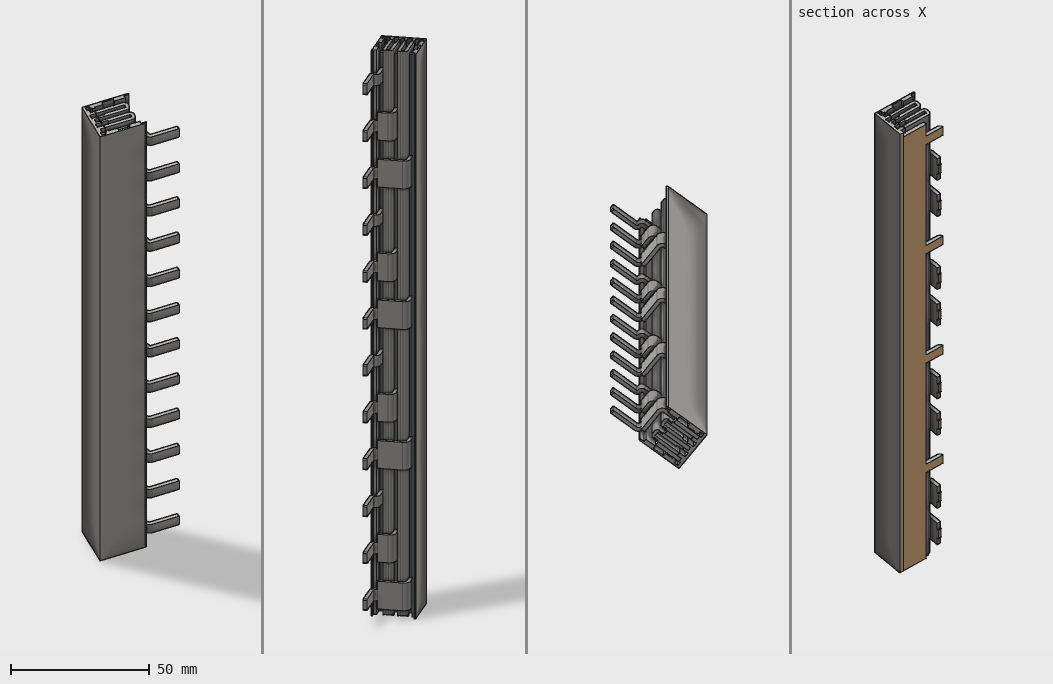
import cadquery as cq


housing_width = 16.5
housing_depth = 18.3
length = 214.4
floor_thickness = 1.0
wall_thickness = 0.6
lip_bevel_width = 0.2
lip_bevel_height = 0.6
ledge_top = 1.7
holder_top = 3.5
upper_rib = (12.0, 16.3)
lower_rib = (2.5, 7.5)
rib_clearance = 0.5
hook = (3.2, 4.3)

bar_thickness = 1.5
bar_spacing = 5.4
bar_top = 12.3
bar_recess = 2.2
bar_count = 3

pin_count = 12
first_pin_z = 8.4
last_pin_z = 204.2
pin_pitch = (last_pin_z - first_pin_z) / (pin_count - 1)
pin_tip = 31.2
pin_width = 4.3
tab_width = 10.5
tip_chamfer = 0.5
pin_x = (housing_width - bar_thickness) / 2
pin_bend_end = 20.5
root_bend = 1.7
pin_bend = 2.0

leg_thickness = 1.3
slim_leg_thickness = 0.9
slim_leg_top = 6.0
leg_bottom = 3.7
separator_top = 16.0
bridge_thickness = 1.3
bridge_radius = 1.5
nub_thickness = 0.5
nub_depth = 1.5
nub_length = 0.6
nub_y = 13.8

half_width = housing_width / 2
half_bar = bar_thickness / 2
outer_leg_x = bar_spacing - half_bar
outer_face_x = bar_spacing + half_bar


def prism(x_range, y_range, z_length=length):
    """Block with the given X and Y ranges, rising from Z = 0."""
    width = x_range[1] - x_range[0]
    depth = y_range[1] - y_range[0]
    return (
        cq.Workplane("XY")
        .box(width, depth, z_length, centered=False)
        .translate((x_range[0], y_range[0], 0))
    )


def make_housing_side():
    """Wall, guide ribs, hook, ledge and holder of the +X half."""
    inner_wall_x = half_width - wall_thickness
    rib_x = outer_face_x + rib_clearance
    holder_x = outer_leg_x - leg_thickness
    wall_outline = [
        (inner_wall_x, 0),
        (half_width, 0),
        (half_width, housing_depth - lip_bevel_height),
        (half_width - lip_bevel_width, housing_depth),
        (inner_wall_x, housing_depth),
    ]
    side = cq.Workplane("XY").polyline(wall_outline).close().extrude(length)
    for rib in (upper_rib, lower_rib):
        side = side.union(prism((rib_x, half_width), rib))
    side = side.union(prism((outer_face_x, half_width), hook))
    side = side.union(prism((holder_x, outer_face_x), (0, ledge_top)))
    return side.union(prism((holder_x, outer_leg_x), (0, holder_top)))


def make_housing():
    holder_x = half_bar + slim_leg_thickness
    floor = prism((-half_width, half_width), (0, floor_thickness))
    middle_holder = prism((-holder_x, holder_x), (0, holder_top))
    middle_slot = prism((-half_bar, half_bar), (ledge_top, holder_top))
    side = make_housing_side()
    housing = floor.union(middle_holder).cut(middle_slot)
    return housing.union(side).union(side.mirror("YZ"))


def sweep_strip(path, width):
    """Bent strip along a path that starts parallel to Y; its width lies along Z."""
    start = path.val().startPoint()
    section = cq.Workplane("XZ", origin=start.toTuple()).rect(bar_thickness, width)
    return section.sweep(path)


def make_pin(bar_x):
    """Tab and pin of one bar, centred on Z = 0."""
    offset = pin_x - bar_x
    is_jogged = offset < root_bend + pin_bend
    first_radius = offset / 2 if is_jogged else root_bend
    second_radius = offset / 2 if is_jogged else pin_bend
    tab_y = pin_bend_end - second_radius
    tab_path = (
        cq.Workplane("XY")
        .moveTo(bar_x, bar_top)
        .lineTo(bar_x, tab_y - first_radius)
        .tangentArcPoint((bar_x + first_radius, tab_y), relative=False)
    )
    if not is_jogged:
        tab_path = tab_path.lineTo(pin_x - second_radius, tab_y)
    pin_path = (
        cq.Workplane("XY")
        .moveTo(pin_x, pin_tip)
        .lineTo(pin_x, pin_bend_end)
        .tangentArcPoint((pin_x - second_radius, tab_y), relative=False)
    )
    pin = sweep_strip(pin_path.wire(), pin_width).faces(">Y").edges("|X").chamfer(tip_chamfer)
    tab = sweep_strip(tab_path.wire(), pin_width if is_jogged else tab_width)
    return pin.union(tab)


def make_bar(index):
    """Bar 0, 1 or 2 counted from -X; every third pin belongs to the same bar."""
    bar_x = (index - 1) * bar_spacing
    bar = prism((bar_x - half_bar, bar_x + half_bar), (ledge_top, bar_top), length - bar_recess)
    pin = make_pin(bar_x)
    for number in range(index, pin_count, bar_count):
        bar = bar.union(pin.translate((0, 0, first_pin_z + number * pin_pitch)))
    return bar


def make_separator():
    """Separator between the middle bar and the +X bar."""
    inner_x = half_bar
    outer_x = outer_leg_x
    body = prism((inner_x, outer_x), (leg_bottom, separator_top))
    body = body.edges("|Z and >Y").fillet(bridge_radius)
    gap_top = separator_top - bridge_thickness
    gap = prism((inner_x + leg_thickness, outer_x - leg_thickness), (leg_bottom, gap_top))
    foot_gap = prism((inner_x + slim_leg_thickness, inner_x + leg_thickness), (leg_bottom, slim_leg_top))
    body = body.cut(gap).cut(foot_gap)
    nub_range = (nub_y - nub_depth / 2, nub_y + nub_depth / 2)
    for nub_x in (inner_x, outer_x - nub_thickness):
        nub = prism((nub_x, nub_x + nub_thickness), nub_range, nub_length)
        body = body.union(nub.translate((0, 0, -nub_length)))
    return body


housing = make_housing()
bars = [make_bar(index) for index in range(bar_count)]
right_separator = make_separator()
separators = [right_separator, right_separator.mirror("YZ")]

result = cq.Compound.makeCompound(
    [housing.val(), *[bar.val() for bar in bars], *[separator.val() for separator in separators]]
)